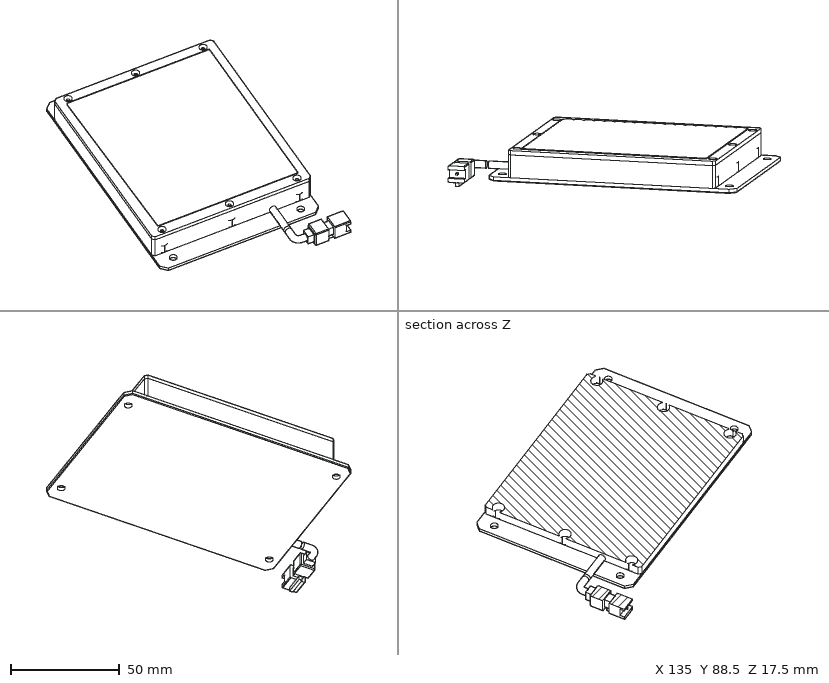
import cadquery as cq
import math


TOTAL_X = 135.0
TOTAL_Y = 88.5
TOTAL_Z = 17.5

BASE_X = 118.0
BASE_Y = 82.2
BASE_T = 2.0
BASE_CORNER = 3.0
BASE_BOTTOM_CHAMFER = 0.4
MOUNT_PITCH_X = 108.0
MOUNT_PITCH_Y = 66.0
MOUNT_DIA = 3.5

BOX_X = 98.5
BOX_CORNER = 1.2
LID_T = 2.0
LID_TOP = 14.7
LID_BOTTOM = LID_TOP - LID_T
HOUSING_H = LID_BOTTOM - BASE_T

PANEL_X = 88.0
PANEL_RISE = 0.4
PANEL_BACK_Y = 36.9
PANEL_FRONT_LEFT_Y = -37.3
PANEL_FRONT_RIGHT_Y = -35.8
PANEL_FILLET = 0.7

SCREW_INSET = 2.7
SCREW_PITCH_Y = 35.0
SCREW_X = BOX_X / 2 - SCREW_INSET
SINK_DIA = 3.8
SINK_ANGLE = 90
PILOT_DIA = 1.6
PILOT_DEPTH = 1.4
DRILL_TIP_H = 0.4
BORE_DEPTH = 4.5
BORE_SLIT = 0.1
BORE_R = math.hypot(SCREW_INSET, BORE_SLIT / 2)

CABLE_R = 1.8
CABLE_Y = 20.9
CABLE_Z = 3.5
CABLE_END_X = 63.6
TAIL_START_X = 65.0
BEND_R = 3.0

PLUG_SIZE = 7.8
PLUG_MAX_X = TOTAL_X - BASE_X / 2
PLUG_X = PLUG_MAX_X - PLUG_SIZE / 2
PLUG_EDGE = 0.4
SLEEVE_SIZE = 4.7
SLEEVE_START_Y = 26.2
REAR_START_Y = 29.2
REAR_END_Y = 36.0
REAR_CHAMFER = 0.5
HEAD_START_Y = 39.3
HEAD_END_Y = TOTAL_Y - BASE_Y / 2
SLOT_H = 4.0
SLOT_DEPTH = 2.3
PIN_SIZE = 0.8
PIN_SETBACK = 0.4
LATCH_X = 1.6
LATCH_START_Y = 36.5
LATCH_END_Y = 45.9
LATCH_TOP = CABLE_Z - PLUG_SIZE / 2
LATCH_BOTTOM = LID_TOP + PANEL_RISE - TOTAL_Z

screw_points = [(side * SCREW_X, row * SCREW_PITCH_Y) for side in (-1, 1) for row in (-1, 0, 1)]


def slab(size_x, corner, bottom, height):
    """Rectangular slab of the full base depth (Y) with chamfered upright corners."""
    block = cq.Workplane("XY").box(size_x, BASE_Y, height, centered=(True, True, False))
    return block.edges("|Z").chamfer(corner).translate((0, 0, bottom))


def cable_rod(start_x, end_x):
    """Straight cable along X."""
    start = cq.Workplane("YZ", origin=(start_x, CABLE_Y, CABLE_Z))
    return start.circle(CABLE_R).extrude(end_x - start_x)


def make_base():
    base = slab(BASE_X, BASE_CORNER, 0, BASE_T)
    base = base.faces("<Z").edges().chamfer(BASE_BOTTOM_CHAMFER)
    mounts = cq.Workplane("XY").rect(MOUNT_PITCH_X, MOUNT_PITCH_Y, forConstruction=True).vertices()
    base = base.cut(mounts.circle(MOUNT_DIA / 2).extrude(BASE_T))
    return base.cut(cable_rod(BOX_X / 2, CABLE_END_X))


def make_housing():
    housing = slab(BOX_X, BOX_CORNER, BASE_T, HOUSING_H)
    bores = cq.Workplane("XY", origin=(0, 0, BASE_T)).pushPoints(screw_points)
    housing = housing.cut(bores.circle(BORE_R).extrude(BORE_DEPTH))
    pilot_bottom = LID_BOTTOM - PILOT_DEPTH
    pilots = cq.Workplane("XY", origin=(0, 0, pilot_bottom)).pushPoints(screw_points)
    housing = housing.cut(pilots.circle(PILOT_DIA / 2).extrude(PILOT_DEPTH))
    for x, y in screw_points:
        tip = cq.Solid.makeCone(
            PILOT_DIA / 2, 0, DRILL_TIP_H, pnt=cq.Vector(x, y, pilot_bottom), dir=cq.Vector(0, 0, -1)
        )
        housing = housing.cut(cq.Workplane(tip))
    return housing


def make_lid():
    lid = slab(BOX_X, BOX_CORNER, LID_BOTTOM, LID_T)
    holes = lid.faces(">Z").workplane(origin=(0, 0, LID_TOP)).pushPoints(screw_points)
    lid = holes.cskHole(PILOT_DIA, SINK_DIA, SINK_ANGLE)
    panel = (
        cq.Workplane("XY", origin=(0, 0, LID_TOP))
        .moveTo(-PANEL_X / 2, PANEL_BACK_Y)
        .lineTo(PANEL_X / 2, PANEL_BACK_Y)
        .lineTo(PANEL_X / 2, PANEL_FRONT_RIGHT_Y)
        .lineTo(-PANEL_X / 2, PANEL_FRONT_LEFT_Y)
        .close()
        .extrude(PANEL_RISE)
    )
    panel = panel.edges("|Z").edges("not >Y").fillet(PANEL_FILLET)
    return lid.union(panel)


def plug_block(size, start_y, end_y):
    """Square block along Y on the plug axis."""
    block = cq.Workplane("XY").box(size, end_y - start_y, size)
    return block.translate((PLUG_X, (start_y + end_y) / 2, CABLE_Z))


def make_cable_tail():
    """Bent cable tail from its cut end up to the plug sleeve."""
    bend_mid = BEND_R * math.sqrt(0.5)
    path = (
        cq.Workplane("XY", origin=(0, 0, CABLE_Z))
        .moveTo(TAIL_START_X, CABLE_Y)
        .lineTo(PLUG_X - BEND_R, CABLE_Y)
        .threePointArc(
            (PLUG_X - BEND_R + bend_mid, CABLE_Y + BEND_R - bend_mid), (PLUG_X, CABLE_Y + BEND_R)
        )
        .lineTo(PLUG_X, SLEEVE_START_Y)
    )
    start = cq.Workplane("YZ", origin=(TAIL_START_X, CABLE_Y, CABLE_Z))
    return start.circle(CABLE_R).sweep(path)


def make_plug():
    sleeve = plug_block(SLEEVE_SIZE, SLEEVE_START_Y, REAR_START_Y)
    rear = plug_block(PLUG_SIZE, REAR_START_Y, REAR_END_Y).edges("|Y").chamfer(PLUG_EDGE)
    rear = rear.faces("<Y").edges().chamfer(REAR_CHAMFER)
    neck = plug_block(SLEEVE_SIZE, REAR_END_Y, HEAD_START_Y)
    head = plug_block(PLUG_SIZE, HEAD_START_Y, HEAD_END_Y).edges("|Y").chamfer(PLUG_EDGE)

    slot_floor = HEAD_END_Y - SLOT_DEPTH
    slot = cq.Workplane("XY").box(PLUG_SIZE, SLOT_DEPTH, SLOT_H)
    head = head.cut(slot.translate((PLUG_X, slot_floor + SLOT_DEPTH / 2, CABLE_Z)))
    pin = plug_block(PIN_SIZE, slot_floor, HEAD_END_Y - PIN_SETBACK)

    latch = cq.Workplane("XY").box(LATCH_X, LATCH_END_Y - LATCH_START_Y, LATCH_TOP - LATCH_BOTTOM)
    latch = latch.translate(
        (PLUG_X, (LATCH_START_Y + LATCH_END_Y) / 2, (LATCH_TOP + LATCH_BOTTOM) / 2)
    )

    plug = make_cable_tail()
    for piece in (sleeve, rear, neck, head, pin, latch):
        plug = plug.union(piece)
    return plug


base = make_base()
housing = make_housing()
lid = make_lid()
cable = cable_rod(BOX_X / 2, CABLE_END_X)
plug = make_plug()

result = cq.Compound.makeCompound([base.val(), housing.val(), lid.val(), cable.val(), plug.val()])